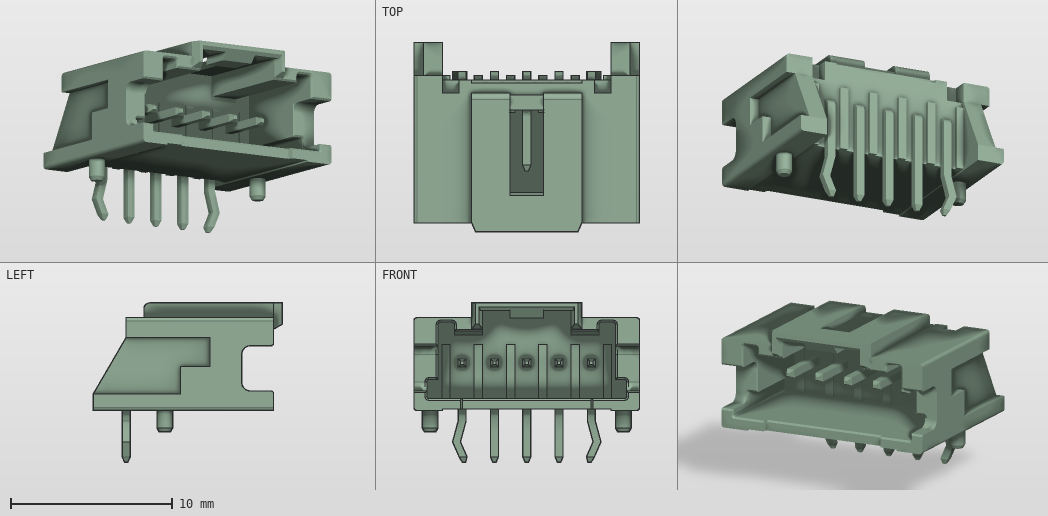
import cadquery as cq
import math


width = 14.0
half_width = width / 2
front = 0.0
top = 5.78
edge_radius = 0.21
top_rear = 9.15
centre_rear = 8.88
wing_rear = 11.2
wing_inner = 5.21
base_relief = 0.1

wing_low = 1.02
wing_high = 4.54
recess_depth = 0.59
recess_step_z = 2.73
recess_rear_part_y = 5.77
recess_front_part_y = 3.96
mouth_depth = 1.97
mouth_low = 1.23
mouth_high = 4.02
mouth_radius = 0.53
rim_chamfer = 0.11

cavity_rear = 7.0
floor_z = 0.75
lower_half = 6.19
lower_top = 1.93
lower_radius = 0.11
upper_half = 5.5
channel_inner = 4.48
channel_top = 5.5
channel_radius = 0.17
shoulder_ceiling = 4.93
rear_lead_height = 0.22
rear_lead_depth = 0.08
floor_setback = 0.3
floor_setback_half = 4.1
floor_setback_taper = 0.11

hood_half = 3.42
hood_top = 6.69
hood_rear = 8.05
hood_rear_radius = 0.38
hood_inner_half = 2.73
hood_ceiling = 6.22
lip_length = 0.55
lip_taper = 0.24
lip_flare = 0.22
lip_low_front = 5.36
lip_low_back = 5.05
lead_height = 0.21
lead_length = 0.18

window_half = 1.05
window_front = 1.71
window_step_y = 7.92
latch_rear = 1.89
latch_shoulder_z = 6.02
latch_low = 5.75

notch_width = 1.0
notch_depth = 0.83
rear_step_length = 0.2
rear_step_drop = 0.2

pitch = 2.0
contact_count = 5
pin_size = 0.5
pin_axis_z = 2.97
pin_tip_y = 3.23
pin_tip_length = 0.35
pin_tip_size = 0.21
pin_outer_y = 9.4
pin_bend_radius = 0.49
pin_bottom = -3.2
kink_start_z = -0.63
kink_peak_z = -1.93
kink_offset = 0.35
tip_offset = 0.05
rib_width = 0.52
rib_top = 4.12
rib_proud = 0.15
post_diameter = 1.0
post_x = 5.99
post_y = 6.75
post_length = 1.32
post_chamfer_length = 0.24
post_chamfer_inset = 0.14

overcut = 0.14


def box(x0, x1, y0, y1, z0, z1):
    return cq.Workplane("XY").box(x1 - x0, y1 - y0, z1 - z0, centered=False).translate((x0, y0, z0))


def prism_x(points_yz, x0, x1):
    return cq.Workplane("YZ").polyline(points_yz).close().extrude(x1 - x0).translate((x0, 0, 0))


def prism_y(points_xz, y0, y1):
    return cq.Workplane("XZ").polyline(points_xz).close().extrude(y0 - y1).translate((0, y0, 0))


def prism_z(points_xy, z0, z1):
    return cq.Workplane("XY").polyline(points_xy).close().extrude(z1 - z0).translate((0, 0, z0))


def both_sides(shape):
    return shape.union(shape.mirror("YZ"))


def housing():
    body = box(-half_width, half_width, front, wing_rear, 0, top).edges("|Y").fillet(edge_radius)
    behind_slope = [
        (wing_rear, wing_low),
        (top_rear, wing_high),
        (top_rear, top + overcut),
        (wing_rear + overcut, top + overcut),
        (wing_rear + overcut, wing_low),
    ]
    body = body.cut(prism_x(behind_slope, -half_width, half_width))
    body = body.cut(box(-wing_inner, wing_inner, centre_rear, wing_rear + overcut, -overcut, top + overcut))
    return body.cut(box(-wing_inner, wing_inner, front - overcut, wing_rear, -overcut, base_relief))


def side_recess():
    outline = [
        (wing_rear + overcut, wing_low),
        (recess_rear_part_y, wing_low),
        (recess_rear_part_y, recess_step_z),
        (recess_front_part_y, recess_step_z),
        (recess_front_part_y, wing_high),
        (wing_rear + overcut, wing_high),
    ]
    return both_sides(prism_x(outline, -half_width - overcut, recess_depth - half_width))


def side_mouth():
    """Rounded opening through both side walls at the mating face, with bevelled front edges."""
    opening = box(-half_width, half_width, front - 2 * mouth_radius, mouth_depth, mouth_low, mouth_high)
    opening = opening.edges("|X and >Y").fillet(mouth_radius)
    bevel = [
        (front, mouth_low - rim_chamfer),
        (front + rim_chamfer, mouth_low),
        (front + rim_chamfer, mouth_high),
        (front, mouth_high + rim_chamfer),
    ]
    return opening.union(prism_x(bevel, -half_width, half_width))


def hood():
    shell = box(-hood_half, hood_half, front, hood_rear, shoulder_ceiling, hood_top)
    shell = shell.edges("|X and >Y and >Z").fillet(hood_rear_radius)
    lip_front = front - lip_length
    lip_side = [(lip_front, lip_low_front), (front, lip_low_back), (front, hood_top), (lip_front, hood_top)]
    lip_plan = [
        (-hood_half, front),
        (lip_taper - hood_half, lip_front),
        (hood_half - lip_taper, lip_front),
        (hood_half, front),
    ]
    lip = prism_x(lip_side, -hood_half, hood_half).intersect(prism_z(lip_plan, 0, hood_top))
    return shell.union(lip)


def round_corner_pair(space, x, z, radius):
    """Rounds the pair of lengthwise edges at (-x, z) and (x, z)."""
    for edge_x in (-x, x):
        corner = cq.selectors.BoxSelector(
            (edge_x - radius / 2, front, z - radius / 2),
            (edge_x + radius / 2, cavity_rear, z + radius / 2),
        )
        space = space.edges("|Y").edges(corner).fillet(radius)
    return space


def cavity():
    right = [
        (lower_half, floor_z),
        (lower_half, lower_top),
        (upper_half, lower_top),
        (upper_half, channel_top),
        (channel_inner, channel_top),
        (channel_inner, shoulder_ceiling),
    ]
    outline = right + [(-x, z) for x, z in reversed(right)]
    space = prism_y(outline, front, cavity_rear)
    space = round_corner_pair(space, upper_half, channel_top, channel_radius)
    space = round_corner_pair(space, channel_inner, channel_top, channel_radius)
    space = round_corner_pair(space, lower_half, floor_z, lower_radius)
    space = round_corner_pair(space, lower_half, lower_top, lower_radius)
    rim = space.faces("<Y").wires().toPending().workplane().offset2D(rim_chamfer)
    rim = rim.extrude(-rim_chamfer, taper=45)
    mouth_rim = rim.translate((0, mouth_depth, 0))
    mouth_rim = mouth_rim.intersect(
        box(-half_width, half_width, mouth_depth, mouth_depth + rim_chamfer, mouth_low, mouth_high)
    )
    return space.union(rim).union(mouth_rim)


def shoulder_lead():
    """Sloped strip where each shoulder ceiling meets the rear wall of the cavity."""
    strip = [
        (cavity_rear - rear_lead_depth, shoulder_ceiling),
        (cavity_rear, shoulder_ceiling),
        (cavity_rear, shoulder_ceiling - rear_lead_height),
    ]
    return both_sides(prism_x(strip, -channel_inner, -hood_inner_half))


def hood_space():
    lip_front = front - lip_length
    space = box(-hood_inner_half, hood_inner_half, lip_front, cavity_rear, floor_z, hood_ceiling)
    flare = [
        (-hood_inner_half - lip_flare, lip_front),
        (-hood_inner_half, front),
        (hood_inner_half, front),
        (hood_inner_half + lip_flare, lip_front),
    ]
    mouth_side = [
        (lip_front, floor_z),
        (front, floor_z),
        (front, hood_ceiling),
        (lip_front + lead_length, hood_ceiling),
        (lip_front, hood_ceiling + lead_height),
    ]
    mouth = prism_z(flare, floor_z, hood_top).intersect(prism_x(mouth_side, -hood_half, hood_half))
    return space.union(mouth)


def window():
    """Opening through the hood roof that steps down to the shoulders at the hood rear."""
    opening = box(-window_half, window_half, window_front, window_step_y, hood_ceiling, hood_top)
    rear_gap = box(-window_half, window_half, window_step_y, hood_rear, top, hood_top)
    return opening.union(rear_gap)


def latch():
    """Ramped catch under the hood, in front of the window, with a rear face sloping up to the hood top."""
    ramp_start = front - lip_length + lead_length
    ramp_length = (hood_ceiling - latch_low) * lead_length / lead_height
    outline = [
        (ramp_start, hood_ceiling),
        (ramp_start + ramp_length, latch_low),
        (latch_rear, latch_low),
        (latch_rear, latch_shoulder_z),
        (window_front, hood_top),
        (ramp_start, hood_top),
    ]
    return prism_x(outline, -window_half, window_half)


def floor_front_relief():
    """Sets the middle of the floor edge back and bevels its upper corner."""
    edge = front + floor_setback
    outline = [
        (front - overcut, -overcut),
        (edge, -overcut),
        (edge, floor_z - rim_chamfer),
        (edge + rim_chamfer, floor_z),
        (front - overcut, floor_z),
    ]
    inner_half = floor_setback_half - floor_setback_taper
    plan = [
        (-floor_setback_half, front - overcut),
        (-floor_setback_half, front),
        (-inner_half, edge),
        (-inner_half, edge + rim_chamfer),
        (inner_half, edge + rim_chamfer),
        (inner_half, edge),
        (floor_setback_half, front),
        (floor_setback_half, front - overcut),
    ]
    profile = prism_x(outline, -floor_setback_half, floor_setback_half)
    return profile.intersect(prism_z(plan, -overcut, floor_z))


def rear_notches():
    notch = box(
        -wing_inner, notch_width - wing_inner, centre_rear - notch_depth, centre_rear, wing_high, top
    )
    return both_sides(notch)


def rib(x):
    return box(
        x - rib_width / 2, x + rib_width / 2, cavity_rear - rib_proud, top_rear, base_relief, rib_top
    )


def contact(x, kink):
    """Square right-angle pin; kink is the side (-1, 0 or 1) towards which its leg is bent for retention."""
    half = pin_size / 2
    tip_half = pin_tip_size / 2
    shank_start = pin_tip_y + pin_tip_length
    tip_taper = math.degrees(math.atan((half - tip_half) / pin_tip_length))
    leg_end = pin_bottom + pin_tip_length
    pin_top = pin_axis_z + half

    arm = box(x - half, x + half, shank_start, pin_outer_y, pin_axis_z - half, pin_top)
    tip = cq.Workplane("XZ", origin=(x, shank_start, pin_axis_z)).rect(pin_size, pin_size)
    tip = tip.extrude(pin_tip_length, taper=tip_taper)

    leg_line = [
        (x, pin_top, half),
        (x, kink_start_z, half),
        (x + kink * kink_offset, kink_peak_z, half),
        (x - kink * tip_offset, leg_end, half),
        (x - kink * 2 * tip_offset, pin_bottom, tip_half),
    ]
    left_edge = [(cx - h, z) for cx, z, h in leg_line]
    right_edge = [(cx + h, z) for cx, z, h in reversed(leg_line)]
    leg_y = pin_outer_y - half
    leg = prism_y(left_edge + right_edge, leg_y - half, leg_y + half)
    leg_side = [
        (leg_y - half, pin_top),
        (leg_y - half, leg_end),
        (leg_y - tip_half, pin_bottom),
        (leg_y + tip_half, pin_bottom),
        (leg_y + half, leg_end),
        (leg_y + half, pin_top),
    ]
    leg = leg.intersect(prism_x(leg_side, -half_width, half_width))
    bent = arm.union(leg).edges("|X and >Y and >Z").fillet(pin_bend_radius)
    return bent.union(tip)


def post(x):
    shaft = cq.Workplane("XY", origin=(x, post_y, floor_z)).circle(post_diameter / 2)
    shaft = shaft.extrude(-floor_z - post_length)
    return shaft.faces("<Z").chamfer(post_chamfer_length, post_chamfer_inset)


result = housing().union(hood())
result = result.cut(side_recess()).cut(side_mouth())
result = result.cut(cavity()).cut(hood_space())
result = result.cut(window())
result = result.union(latch()).union(shoulder_lead())
result = result.cut(floor_front_relief()).cut(rear_notches())
result = result.cut(
    box(-hood_half, hood_half, centre_rear - rear_step_length, centre_rear, top - rear_step_drop, top)
)

for index in range(contact_count + 1):
    result = result.union(rib((index - contact_count / 2) * pitch))

for index in range(contact_count):
    last = contact_count - 1
    kink_side = {0: -1, last: 1}.get(index, 0)
    result = result.union(contact((index - last / 2) * pitch, kink_side))

for side in (-1, 1):
    result = result.union(post(side * post_x))